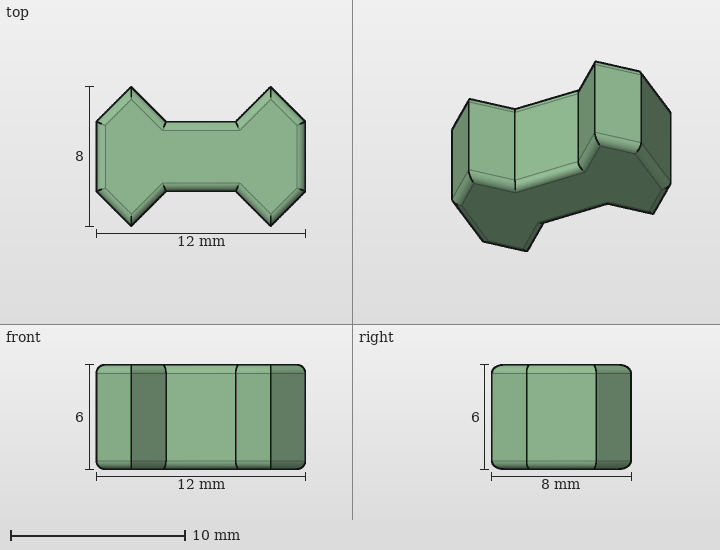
import cadquery as cq

length = 12.0
width = 8.0
height = 6.0
waist_width = 4.0
edge_radius = 0.5

half_length = length / 2
half_width = width / 2
half_waist = waist_width / 2
slant_run = half_width - half_waist
point_x = half_length - slant_run
waist_x = point_x - slant_run


def bow_tie_outline():
    """Points of the double-headed outline, symmetric about X and Y."""
    lower_half = [
        (-half_length, -half_waist),
        (-point_x, -half_width),
        (-waist_x, -half_waist),
        (waist_x, -half_waist),
        (point_x, -half_width),
        (half_length, -half_waist),
    ]
    upper_half = [(x, -y) for x, y in reversed(lower_half)]
    return lower_half + upper_half


def key_block():
    """Prism centred on the origin with rounded top and bottom rims."""
    block = cq.Workplane("XY").polyline(bow_tie_outline()).close().extrude(height / 2, both=True)
    return block.faces("|Z").edges().fillet(edge_radius)


result = key_block()